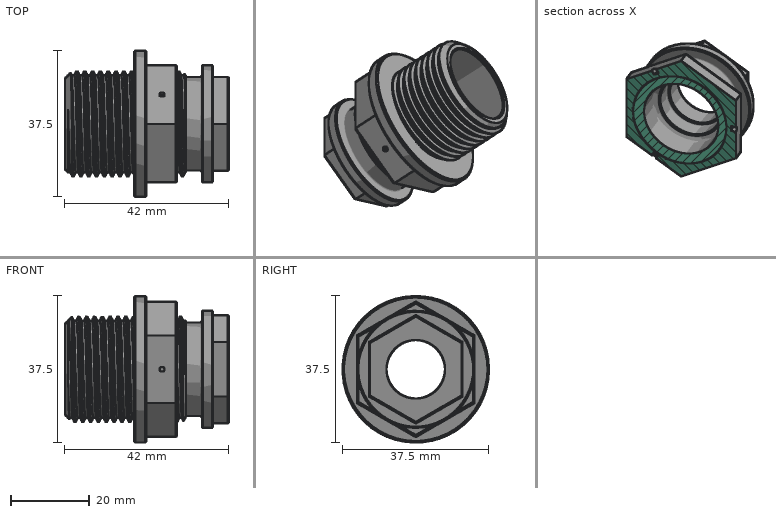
import cadquery as cq
import math


overall_length = 41.95
collar_start = 35.05
collar_end = 37.9
collar_radius = 15.0
collar_chamfer = 0.3
fitting_hex_flats = 24.0
fitting_hex_chamfer = 0.3

neck_radius = 12.0
neck_start = 31.05
neck_fillet = 0.4

thread_radius = 13.45
thread_root_radius = 12.45
pitch = 2.0
crest_width = 0.3
flank_angle = 27.0
crest_offset = 1.6
mouth_radius = 11.6
runout_angle = 60.0
root_overlap = 0.25

bore_radius = 10.1
bore_depth = 31.0
bore_fillet = 0.8
shoulder_angle = 30.0
shoulder_end_radius = 9.1
shoulder_end_fillet = 0.55
middle_bore_radius = 8.4
middle_bore_depth = 36.0
middle_bore_fillet = 0.4
outlet_radius = 7.45
bore_chamfer = 0.3

nut_start = 17.7
nut_flange_thickness = 3.2
nut_end = 28.75
nut_flange_radius = 18.75
nut_flange_chamfer = 0.4
nut_hex_flats = 30.0
nut_hex_chamfer = 0.4

flat_hole_diameter = 1.25
flat_hole_depth = 1.25
flat_hole_position = 24.85
flat_hole_angles = (60, 180, 300)


def disc(start, end, radius):
    """Cylinder around the X axis."""
    return cq.Workplane("YZ", origin=(start, 0, 0)).circle(radius).extrude(end - start)


def revolved(outline):
    """Solid of revolution about X from a list of (axial, radial) points."""
    return cq.Workplane("XY").polyline(outline).close().revolve(360, (0, 0, 0), (1, 0, 0))


def collar(start, end, radius, chamfer):
    """Disc with both rims chamfered."""
    return disc(start, end, radius).edges().chamfer(chamfer)


def hexagon(start, end, across_flats, chamfer):
    """Hexagonal prism with corners on +Z and -Z and its +X outline chamfered."""
    corner_diameter = across_flats / math.cos(math.pi / 6)
    prism = (
        cq.Workplane("YZ", origin=(start, 0, 0))
        .transformed(rotate=(0, 0, 90))
        .polygon(6, corner_diameter)
        .extrude(end - start)
    )
    return prism.faces(">X").chamfer(chamfer)


def thread_ridge(end):
    """Helical thread ridge that runs past X = 0 on one side and past `end` on the other."""
    height = thread_radius - thread_root_radius
    slope = math.tan(math.radians(flank_angle))
    half_crest = crest_width / 2
    half_base = half_crest + (height + root_overlap) * slope
    base_radius = thread_root_radius - root_overlap
    first_crest = crest_offset - 2 * pitch
    turns = math.ceil((end - first_crest) / pitch) + 1
    profile = (
        cq.Workplane("XZ")
        .moveTo(base_radius, -half_base)
        .lineTo(thread_radius, -half_crest)
        .lineTo(thread_radius, half_crest)
        .lineTo(base_radius, half_base)
        .close()
    )
    helix = cq.Wire.makeHelix(pitch, turns * pitch, base_radius)
    ridge = profile.sweep(cq.Workplane(helix), isFrenet=True)
    ridge = ridge.rotate((0, 0, 0), (0, 0, 1), 180).rotate((0, 0, 0), (0, 1, 0), 90)
    return ridge.translate((first_crest, 0, 0))


def threaded_tube():
    """Threaded bar trimmed by a lead-in cone at the mouth and a run-out cone at the neck."""
    overrun = 3 * pitch
    trim_radius = thread_radius + 2 * pitch
    bar = disc(-overrun, neck_start + overrun, thread_root_radius)
    bar = bar.union(thread_ridge(neck_start))
    lead_in = revolved(
        [
            (-overrun, 0),
            (-overrun, trim_radius),
            (trim_radius - mouth_radius, trim_radius),
            (0, mouth_radius),
            (0, 0),
        ]
    )
    runout_length = (trim_radius - neck_radius) / math.tan(math.radians(runout_angle))
    runout = revolved(
        [
            (neck_start, 0),
            (neck_start, neck_radius),
            (neck_start - runout_length, trim_radius),
            (neck_start + overrun, trim_radius),
            (neck_start + overrun, 0),
        ]
    )
    return bar.cut(lead_in).cut(runout)


def stepped_bore():
    """Through bore: wide inlet with a conical shoulder, middle step and outlet."""
    shoulder_slope = math.tan(math.radians(shoulder_angle))
    inlet_end = bore_depth + (bore_radius - shoulder_end_radius) * shoulder_slope
    inlet = revolved(
        [
            (0, 0),
            (0, bore_radius),
            (bore_depth, bore_radius),
            (inlet_end, shoulder_end_radius),
            (inlet_end, 0),
        ]
    )
    inlet = inlet.faces("%CYLINDER").edges(">X").fillet(bore_fillet)
    inlet = inlet.faces(">X").edges().fillet(shoulder_end_fillet)
    middle = (
        disc(0, middle_bore_depth, middle_bore_radius).faces(">X").edges().fillet(middle_bore_fillet)
    )
    outlet = disc(0, overall_length, outlet_radius)
    bore = inlet.union(middle).union(outlet)
    steps = (
        (0, bore_radius),
        (inlet_end, middle_bore_radius),
        (middle_bore_depth, outlet_radius),
    )
    for start, radius in steps:
        mouth = cq.Solid.makeCone(
            radius + bore_chamfer, radius, bore_chamfer, cq.Vector(start, 0, 0), cq.Vector(1, 0, 0)
        )
        bore = bore.union(cq.Workplane(mouth))
    return bore


def make_fitting(tube):
    neck = disc(neck_start, collar_start, neck_radius)
    flange = collar(collar_start, collar_end, collar_radius, collar_chamfer)
    head = neck.union(flange)
    margin = 0.01
    root_edge = cq.selectors.BoxSelector(
        (collar_start - margin, -neck_radius - margin, -neck_radius - margin),
        (collar_start + margin, neck_radius + margin, neck_radius + margin),
        boundingbox=True,
    )
    head = head.edges(root_edge).fillet(neck_fillet)
    head = head.union(hexagon(collar_end, overall_length, fitting_hex_flats, fitting_hex_chamfer))
    return tube.union(head).cut(stepped_bore())


def make_nut(tube):
    hex_start = nut_start + nut_flange_thickness
    nut = collar(nut_start, hex_start, nut_flange_radius, nut_flange_chamfer)
    nut = nut.union(hexagon(hex_start, nut_end, nut_hex_flats, nut_hex_chamfer))
    flat_distance = nut_hex_flats / 2
    drill = (
        cq.Workplane("XZ", origin=(flat_hole_position, flat_distance, 0))
        .circle(flat_hole_diameter / 2)
        .extrude(flat_hole_depth)
    )
    for angle in flat_hole_angles:
        nut = nut.cut(drill.rotate((0, 0, 0), (1, 0, 0), angle))
    return nut.cut(tube)


tube = threaded_tube()
fitting = make_fitting(tube)
nut = make_nut(tube)
result = cq.Compound.makeCompound([fitting.solids().val(), nut.solids().val()])